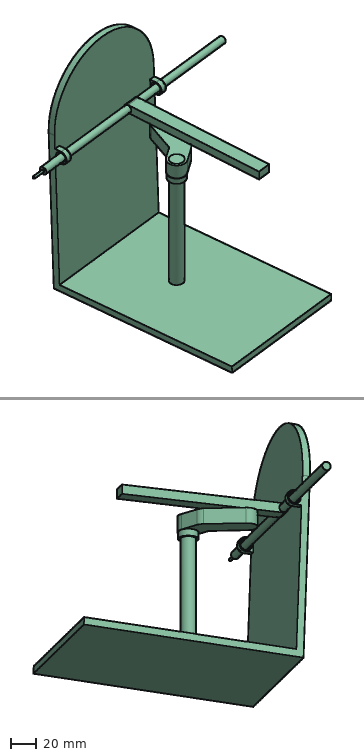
import cadquery as cq
import math

tilt = 2.0
plate_thickness = 6.3
plate_width = 122.5
wall_height = 214.3
floor_length = 183.8

hinge_x = 7.5
hinge_z = 134.0
lug_radius = 6.0
lug_hole_radius = 5.1
lug_thickness = 5.4

rod_radius = 3.5
rod_back_y = 138.0
rod_front_y = -83.0
tip_radius = 1.2
tip_length = 232.7 - (rod_back_y - rod_front_y)

bar_thickness = 8.0
bar_width = 12.5
bar_end_x = 142.5
bar_y = 27.7
bar_bottom_z = hinge_z - bar_thickness / 2

arm_radius = 8.5
arm_height = 13.0
arm_end_x = 36.0
elbow = (67.3, 14.7)
arm_bottom_z = bar_bottom_z - arm_height

post_x = 75.5
post_y = 0.2
post_radius = 6.3
collar_radius = 8.1
collar_height = 5.5


def y_cylinder(x, z, radius, y_start, y_end):
    """Cylinder along Y from y_start up to y_end."""
    plane = cq.Plane(origin=(x, y_start, z), xDir=(1, 0, 0), normal=(0, 1, 0))
    return cq.Workplane(plane).circle(radius).extrude(y_end - y_start)


def z_cylinder(radius, z_start, z_end):
    """Cylinder on the post axis from z_start up to z_end."""
    base = cq.Workplane("XY", origin=(post_x, post_y, z_start))
    return base.circle(radius).extrude(z_end - z_start)


def lean(body):
    """Turn a body from the upright bracket frame to its leaning position."""
    return body.rotate((0, 0, 0), (0, -1, 0), tilt)


def floor_plate():
    """Floor of the bracket in the upright frame."""
    return cq.Workplane("XY").box(
        floor_length, plate_width, plate_thickness, centered=(False, True, False)
    )


def make_bracket():
    half_width = plate_width / 2
    shoulder = wall_height - half_width
    wall = (
        cq.Workplane("YZ")
        .moveTo(-half_width, 0)
        .lineTo(half_width, 0)
        .lineTo(half_width, shoulder)
        .threePointArc((0, wall_height), (-half_width, shoulder))
        .close()
        .extrude(plate_thickness)
    )
    bracket = wall.union(floor_plate())

    angle = math.radians(tilt)
    lug_x = hinge_x * math.cos(angle) + hinge_z * math.sin(angle)
    lug_z = hinge_z * math.cos(angle) - hinge_x * math.sin(angle)
    for y_start in (-half_width, half_width - lug_thickness):
        y_end = y_start + lug_thickness
        web = cq.Workplane("XY", origin=(0, y_start, lug_z)).box(
            lug_x, lug_thickness, 2 * lug_radius, centered=(False, False, True)
        )
        eye = y_cylinder(lug_x, lug_z, lug_radius, y_start, y_end)
        hole = y_cylinder(lug_x, lug_z, lug_hole_radius, y_start, y_end)
        bracket = bracket.union(web.union(eye).cut(hole))
    return lean(bracket)


def make_rod():
    shaft = y_cylinder(hinge_x, hinge_z, rod_radius, rod_front_y, rod_back_y)
    tip = y_cylinder(hinge_x, hinge_z, tip_radius, rod_front_y - tip_length, rod_front_y)
    return shaft.union(tip)


def make_bar():
    bar_front_y = bar_y - bar_width / 2
    bar_back_y = bar_y + bar_width / 2
    beam = cq.Workplane("XY", origin=(hinge_x, bar_y, hinge_z)).box(
        bar_end_x - hinge_x, bar_width, bar_thickness, centered=(False, True, True)
    )
    rounded_end = y_cylinder(hinge_x, hinge_z, bar_thickness / 2, bar_front_y, bar_back_y)
    rod_hole = y_cylinder(hinge_x, hinge_z, rod_radius, bar_front_y, bar_back_y)
    return beam.union(rounded_end).cut(rod_hole)


def arm_link(start, end):
    """Round-ended link between two centres."""
    dx = end[0] - start[0]
    dy = end[1] - start[1]
    middle = ((start[0] + end[0]) / 2, (start[1] + end[1]) / 2)
    return (
        cq.Workplane("XY", origin=(*middle, arm_bottom_z))
        .slot2D(math.hypot(dx, dy) + 2 * arm_radius, 2 * arm_radius, math.degrees(math.atan2(dy, dx)))
        .extrude(arm_height)
    )


def make_arm():
    links = arm_link((arm_end_x, bar_y), elbow).union(arm_link(elbow, (post_x, post_y)))
    return links.cut(z_cylinder(post_radius, arm_bottom_z, bar_bottom_z))


def make_collar():
    collar_bottom_z = arm_bottom_z - collar_height
    ring = z_cylinder(collar_radius, collar_bottom_z, arm_bottom_z)
    return ring.cut(z_cylinder(post_radius, collar_bottom_z, arm_bottom_z))


def make_post():
    """Round post whose foot is cut to sit flat on the leaning floor."""
    start_z = post_x * math.tan(math.radians(tilt)) + plate_thickness / 2
    return z_cylinder(post_radius, start_z, bar_bottom_z).cut(lean(floor_plate()))


bracket = make_bracket()
rod = make_rod()
bar = make_bar()
arm = make_arm()
collar = make_collar()
post = make_post()

result = cq.Compound.makeCompound(
    [bracket.val(), rod.val(), bar.val(), arm.val(), collar.val(), post.val()]
)